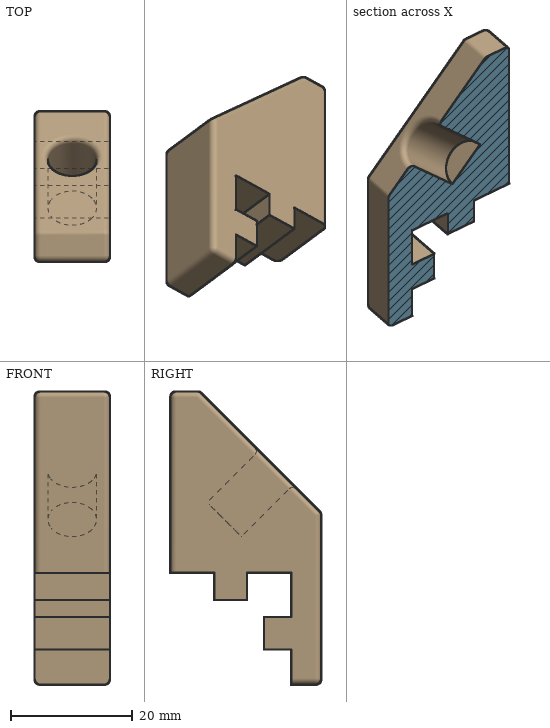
import cadquery as cq
import math

width = 12.5
depth = 25.0
height = 48.5
edge_radius = 1.0

top_land = 4.9
slope_run = depth - top_land

wall_thickness = 5.0
wall_face = depth - wall_thickness
ledge_height = 18.55

tab_offset = 7.28
tab_width = 5.45
tab_length = 4.5

hole_diameter = 8.0
hole_depth = 12.12
rim_radius = 1.0
hole_y = 17.5
hole_z = height - (hole_y - top_land)


def full_width_box(y_min, y_max, z_min, z_max):
    """Box across the whole width of the part."""
    return cq.Workplane("XY").box(
        width, y_max - y_min, z_max - z_min, centered=(True, False, False)
    ).translate((0, y_min, z_min))


def make_body():
    """Rounded five-sided block with a recess under its front part."""
    block = (
        cq.Workplane("YZ")
        .polyline([
            (0, 0),
            (depth, 0),
            (depth, height - slope_run),
            (top_land, height),
            (0, height),
        ])
        .close()
        .extrude(width / 2, both=True)
        .edges()
        .fillet(edge_radius)
    )
    return block.cut(full_width_box(0, wall_face, 0, ledge_height))


def add_tabs(body):
    """Add the tab hanging from the ledge and the tab on the back wall."""
    ledge_tab_end = wall_face - tab_offset
    wall_tab_top = ledge_height - tab_offset
    ledge_tab = full_width_box(
        ledge_tab_end - tab_width, ledge_tab_end, ledge_height - tab_length, ledge_height
    )
    wall_tab = full_width_box(
        wall_face - tab_length, wall_face, wall_tab_top - tab_width, wall_tab_top
    )
    return body.union(ledge_tab).union(wall_tab)


def make_hole_cutter():
    """Revolved blind hole that flares to a quarter-round rim at the slope."""
    hole_radius = hole_diameter / 2
    rim_reach = rim_radius * (1 - math.sqrt(0.5))
    slope_plane = cq.Plane(origin=(0, hole_y, hole_z), xDir=(1, 0, 0), normal=(0, 1, 1))
    cutter = (
        cq.Workplane("XZ")
        .moveTo(0, 0)
        .lineTo(hole_radius + rim_radius, 0)
        .threePointArc((hole_radius + rim_reach, -rim_reach), (hole_radius, -rim_radius))
        .lineTo(hole_radius, -hole_depth)
        .lineTo(0, -hole_depth)
        .close()
        .revolve(360, (0, 0, 0), (0, 1, 0))
    )
    return cutter.val().moved(cq.Location(slope_plane))


result = add_tabs(make_body()).cut(cq.Workplane(make_hole_cutter()))